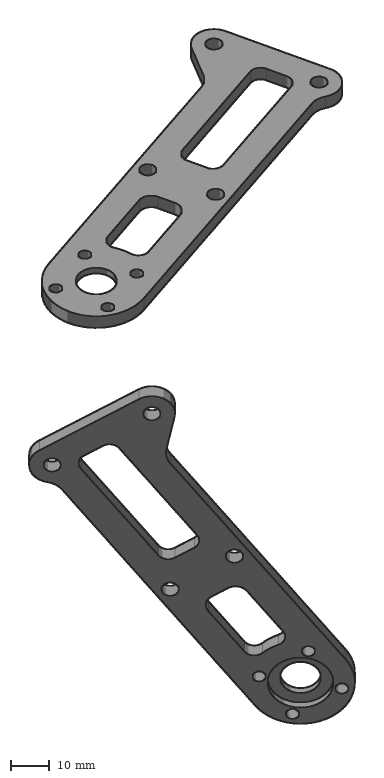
import cadquery as cq
import math

length = 117.0
thickness = 4.0
arm_radius = 14.0

ear_radius = 6.0
ear_spacing = 31.0
right_ear_x = 11.5
left_ear_x = right_ear_x - ear_spacing
ear_y = length - arm_radius - ear_radius
neck_radius = 6.0

bore_diameter = 10.5
recess_diameter = 17.0
recess_depth = 2.0
bolt_diameter = 3.4
bolt_spacing = 15.3
mount_diameter = 4.5
mid_hole_spacing = 20.0
mid_hole_y = 45.0

window_width = 12.0
upper_window_bottom = 53.2
upper_window_top = 95.0
upper_corner_radius = 3.0
lower_window_top = 37.0
lower_top_corner_radius = 3.5
lower_bottom_corner_radius = 3.0
lower_window_arc_radius = 14.0


def polar(center, radius, degrees):
    angle = math.radians(degrees)
    return (center[0] + radius * math.cos(angle), center[1] + radius * math.sin(angle))


def make_plate():
    left_ear = (left_ear_x, ear_y)
    right_ear = (right_ear_x, ear_y)

    right_neck_dx = arm_radius + neck_radius - right_ear_x
    neck_angle = math.degrees(math.acos(right_neck_dx / (ear_radius + neck_radius)))
    right_neck = polar(right_ear, ear_radius + neck_radius, -neck_angle)

    flank_start = polar(left_ear, ear_radius, 225)
    left_neck_x = -arm_radius - neck_radius
    flank_end_x = polar((left_neck_x, 0), neck_radius, 45)[0]
    flank_end = (flank_end_x, flank_start[1] - (flank_end_x - flank_start[0]))
    left_neck = (left_neck_x, flank_end[1] - neck_radius * math.sin(math.radians(45)))

    return (
        cq.Workplane("XY")
        .moveTo(-arm_radius, 0)
        .threePointArc((0, -arm_radius), (arm_radius, 0))
        .lineTo(arm_radius, right_neck[1])
        .threePointArc(
            polar(right_neck, neck_radius, 180 - neck_angle / 2),
            polar(right_neck, neck_radius, 180 - neck_angle),
        )
        .threePointArc(polar(right_ear, ear_radius, 0), polar(right_ear, ear_radius, 90))
        .lineTo(*polar(left_ear, ear_radius, 90))
        .threePointArc(polar(left_ear, ear_radius, 180), flank_start)
        .lineTo(*flank_end)
        .threePointArc(polar(left_neck, neck_radius, 22.5), polar(left_neck, neck_radius, 0))
        .close()
        .extrude(thickness)
    )


def make_upper_window():
    height = upper_window_top - upper_window_bottom
    return (
        cq.Workplane("XY")
        .center(0, upper_window_bottom + height / 2)
        .rect(window_width, height)
        .extrude(thickness)
        .edges("|Z")
        .fillet(upper_corner_radius)
    )


def make_lower_window():
    half_width = window_width / 2
    corner_y = math.sqrt(lower_window_arc_radius**2 - half_width**2)
    return (
        cq.Workplane("XY")
        .moveTo(-half_width, corner_y)
        .threePointArc((0, lower_window_arc_radius), (half_width, corner_y))
        .lineTo(half_width, lower_window_top)
        .lineTo(-half_width, lower_window_top)
        .close()
        .extrude(thickness)
        .edges("|Z and >Y")
        .fillet(lower_top_corner_radius)
        .edges("|Z and <Y")
        .fillet(lower_bottom_corner_radius)
    )


def make_holes(points, diameter, depth=thickness):
    return cq.Workplane("XY").pushPoints(points).circle(diameter / 2).extrude(depth)


bolt_offset = bolt_spacing / 2
bolt_points = [(x, y) for x in (-bolt_offset, bolt_offset) for y in (-bolt_offset, bolt_offset)]
mount_points = [
    (left_ear_x, ear_y),
    (right_ear_x, ear_y),
    (-mid_hole_spacing / 2, mid_hole_y),
    (mid_hole_spacing / 2, mid_hole_y),
]

result = (
    make_plate()
    .cut(make_upper_window())
    .cut(make_lower_window())
    .cut(make_holes([(0, 0)], bore_diameter))
    .cut(make_holes([(0, 0)], recess_diameter, recess_depth))
    .cut(make_holes(bolt_points, bolt_diameter))
    .cut(make_holes(mount_points, mount_diameter))
)